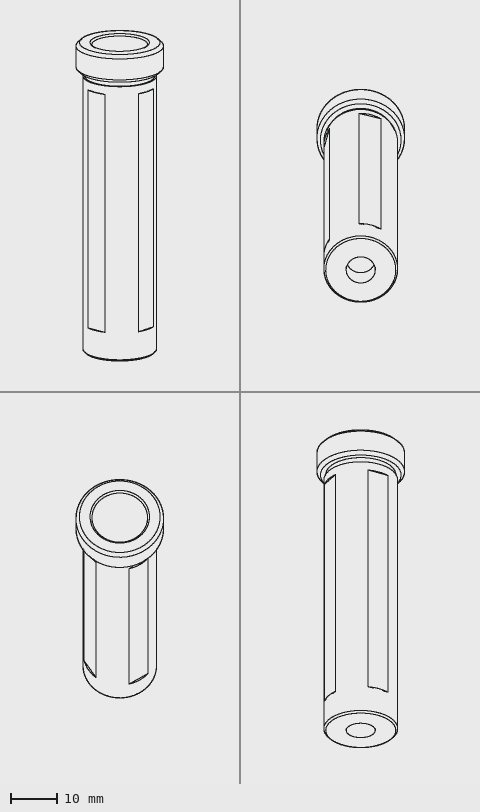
import cadquery as cq

length = 69.85
body_diameter = 16.0
foot_chamfer = 0.4

head_diameter = 19.0
head_height = 6.3
head_chamfer = 0.8

neck_diameter = 15.2
neck_height = 1.25

flat_count = 4
flat_spacing = 15.2
flat_bottom = 6.4
flat_top = 60.35

bore_diameter = 12.0
bore_chamfer = 0.4
floor_thickness = 5.0
through_diameter = 6.3

head_bottom = length - head_height
neck_bottom = head_bottom - neck_height


def cylinder(diameter, bottom, top):
    """Cylinder on the Z axis between two heights."""
    return cq.Workplane("XY").workplane(offset=bottom).circle(diameter / 2).extrude(top - bottom)


def make_outside():
    """Body, neck and chamfered head as one solid."""
    body = cylinder(body_diameter, 0, neck_bottom).faces("<Z").edges().chamfer(foot_chamfer)
    neck = cylinder(neck_diameter, neck_bottom, head_bottom)
    head = cylinder(head_diameter, head_bottom, length).faces("<Z or >Z").edges().chamfer(head_chamfer)
    return body.union(neck).union(head)


def cut_flats(part):
    """Cut equally spaced flats along the body, between its two full round ends."""
    flat_height = flat_top - flat_bottom
    cutter = (
        cq.Workplane("XY")
        .box(body_diameter, body_diameter, flat_height, centered=(False, True, False))
        .translate((flat_spacing / 2, 0, flat_bottom))
    )
    for index in range(flat_count):
        angle = index * 360 / flat_count
        part = part.cut(cutter.rotate((0, 0, 0), (0, 0, 1), angle))
    return part


def cut_bore(part):
    """Cut the wide bore, its mouth chamfer and the narrow hole through the floor."""
    bore = cylinder(bore_diameter, floor_thickness, length)
    through_hole = cylinder(through_diameter, 0, length)
    mouth_radius = bore_diameter / 2 + bore_chamfer
    mouth = cq.Workplane("XY").add(
        cq.Solid.makeCone(
            bore_diameter / 2, mouth_radius, bore_chamfer, pnt=cq.Vector(0, 0, length - bore_chamfer)
        )
    )
    return part.cut(bore).cut(through_hole).cut(mouth)


result = cut_bore(cut_flats(make_outside()))